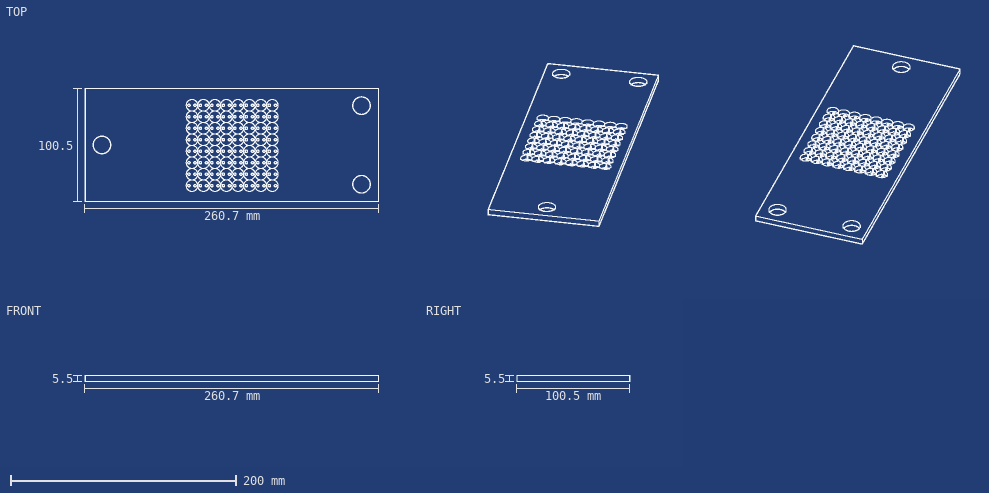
import cadquery as cq

length = 260.7
width = 100.5
thickness = 5.5

mount_diameter = 15.5
mount_x_right = 115.2
mount_x_left = -115.5
mount_y = 35.0

grid_count = 8
grid_span = 71.5
grid_center_x = 0.3
grid_center_y = -0.47
pocket_overlap = 0.03
pocket_depth = 4.5
grid_pitch = grid_span / (grid_count - 1)
pocket_diameter = grid_pitch + pocket_overlap

pin_diameter = 2.0
pin_spacing = 5.5


def drill(body, centers, diameter, depth):
    """Cut round holes of one size downward from the top face."""
    cutters = [
        cq.Solid.makeCylinder(diameter / 2, depth, cq.Vector(x, y, thickness - depth))
        for x, y in centers
    ]
    return body.cut(*cutters)


mount_centers = [
    (mount_x_left, 0),
    (mount_x_right, mount_y),
    (mount_x_right, -mount_y),
]
grid_offsets = [i * grid_pitch - grid_span / 2 for i in range(grid_count)]
pocket_centers = [
    (grid_center_x + dx, grid_center_y + dy)
    for dx in grid_offsets
    for dy in grid_offsets
]
pin_centers = [
    (x + side * pin_spacing / 2, y)
    for x, y in pocket_centers
    for side in (-1, 1)
]

plate = cq.Workplane("XY").box(length, width, thickness, centered=(True, True, False)).val()
plate = drill(plate, mount_centers, mount_diameter, thickness)
plate = drill(plate, pocket_centers, pocket_diameter, pocket_depth)
plate = drill(plate, pin_centers, pin_diameter, thickness)

result = cq.Workplane("XY").newObject(plate.clean().Solids())